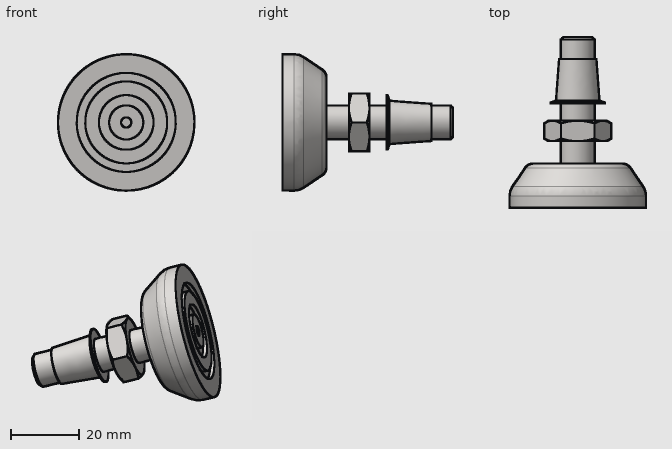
import cadquery as cq
import math


FOOT_RADIUS = 20.0
FOOT_HEIGHT = 13.0
RIM_HEIGHT = 5.0
SHOULDER_RADIUS = 14.6
RIM_ROUND = 5.0
SHOULDER_ROUND = 3.0
STUD_RADIUS = 5.0
STUD_END = 50.0
STUD_CHAMFER = 0.8

SOLE_GROOVES = [(12.0, 14.5), (5.0, 8.0)]
SOLE_RECESS_DEPTH = 1.3
CENTRE_HOLE_RADIUS = 1.5

NUT_START = 19.5
NUT_HEIGHT = 6.0
NUT_ACROSS_FLATS = 17.0
NUT_FACE_RADIUS = NUT_ACROSS_FLATS / 2
NUT_CHAMFER_ANGLE = 30.0

INSERT_START = 30.5
INSERT_END = 43.6
FLANGE_RADIUS = 8.0
FLANGE_LIP = 0.3
FLANGE_HEIGHT = 0.9
INSERT_BASE_RADIUS = 6.4
INSERT_END_RADIUS = 5.5


def rod(radius, start, length):
    """Cylinder along +Y."""
    return cq.Workplane(cq.Solid.makeCylinder(radius, length, cq.Vector(0, start, 0), cq.Vector(0, 1, 0)))


def turned(points):
    """Revolve a closed (radius, y) outline about the Y axis."""
    return cq.Workplane("XY").polyline(points).close().revolve(360, (0, 0, 0), (0, 1, 0))


def near_edge(radius, y):
    """Selector box around the whole circular edge of the given radius and height."""
    margin = 0.05
    reach = radius + margin
    return cq.selectors.BoxSelector((-reach, y - margin, -reach), (reach, y + margin, reach), boundingbox=True)


def make_foot():
    foot = turned([
        (0, 0),
        (FOOT_RADIUS, 0),
        (FOOT_RADIUS, RIM_HEIGHT),
        (SHOULDER_RADIUS, FOOT_HEIGHT),
        (0, FOOT_HEIGHT),
    ])
    foot = foot.edges(near_edge(FOOT_RADIUS, RIM_HEIGHT)).fillet(RIM_ROUND)
    foot = foot.edges(near_edge(SHOULDER_RADIUS, FOOT_HEIGHT)).fillet(SHOULDER_ROUND)

    stud = rod(STUD_RADIUS, FOOT_HEIGHT, STUD_END - FOOT_HEIGHT)
    foot = foot.union(stud.faces(">Y").chamfer(STUD_CHAMFER))

    for inner_radius, outer_radius in SOLE_GROOVES:
        island = rod(inner_radius, 0, SOLE_RECESS_DEPTH)
        foot = foot.cut(rod(outer_radius, 0, SOLE_RECESS_DEPTH).cut(island))
    return foot.cut(rod(CENTRE_HOLE_RADIUS, 0, SOLE_RECESS_DEPTH))


def make_nut():
    """Hex nut with two flats facing +Z and -Z, and both faces turned to a cone."""
    corner_radius = NUT_ACROSS_FLATS / math.sqrt(3)
    nut_end = NUT_START + NUT_HEIGHT
    chamfer_drop = (corner_radius - NUT_FACE_RADIUS) * math.tan(math.radians(NUT_CHAMFER_ANGLE))
    hexagon = (
        cq.Workplane("XZ", origin=(0, NUT_START, 0))
        .polygon(6, 2 * corner_radius)
        .extrude(-NUT_HEIGHT)
    )
    chamfer_envelope = turned([
        (0, NUT_START),
        (NUT_FACE_RADIUS, NUT_START),
        (corner_radius, NUT_START + chamfer_drop),
        (corner_radius, nut_end - chamfer_drop),
        (NUT_FACE_RADIUS, nut_end),
        (0, nut_end),
    ])
    return hexagon.intersect(chamfer_envelope).cut(rod(STUD_RADIUS, NUT_START, NUT_HEIGHT))


def make_insert():
    """Tapered sleeve around the stud, with a thin flange toward the nut."""
    return turned([
        (STUD_RADIUS, INSERT_START),
        (FLANGE_RADIUS, INSERT_START),
        (FLANGE_RADIUS, INSERT_START + FLANGE_LIP),
        (INSERT_BASE_RADIUS, INSERT_START + FLANGE_HEIGHT),
        (INSERT_END_RADIUS, INSERT_END),
        (STUD_RADIUS, INSERT_END),
    ])


foot = make_foot()
nut = make_nut()
insert = make_insert()

result = cq.Compound.makeCompound([foot.val(), nut.val(), insert.val()])